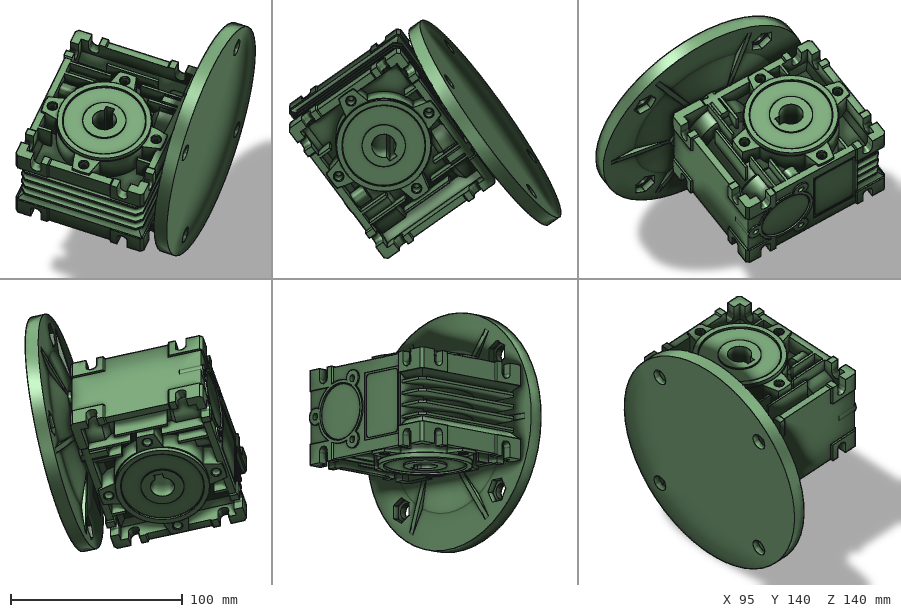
import cadquery as cq
import math


WORM_Y = 30.0

WALL_X = 39.0
WALL_Y_LOW = -39.2
WALL_Y_HIGH = 55.7
RIM_Z = 27.2
POCKET_X = 34.9
POCKET_Y_LOW = -34.6
POCKET_Y_HIGH = 51.5
POCKET_FLOOR_Z = 13.0
POCKET_BEVEL = 3.2

PAD_RISE = 1.0
PAD_Y_LOW = -40.0
PAD_Y_HIGH = 57.0
PAD_TOP_Z = 28.0
PAD_BOTTOM_Z = 15.8
PAD_CHAMFER = 1.7
PAD_END = 19.9
PAD_END_Y_HIGH = 37.1
SLOT_OFFSET = 27.0
SLOT_Y_HIGH = 44.1
SLOT_RADIUS = 3.2
SLOT_CENTRE_Z = 21.8

RECESS_Z = 11.6
RECESS_FLARE = PAD_BOTTOM_Z - RECESS_Z
BLOCK_OUTER_Y = -20.5
BLOCK_NOSE = (-23.4, -23.5)
BLOCK_ROOT = (-20.2, -19.5)
FIN_REACH = 38.1
FIN_CORNER = 3.4
FIN_THICKNESS = 1.5
FIN_PITCH = 7.0
FIN_COUNT = 4

HUB_RADIUS = 28.0
EAR_TOP_Z = 28.8
PILOT_RADIUS = 27.5
PILOT_TOP_Z = 31.5
EAR_TIP_RADIUS = 37.8
EAR_HALF_TIP = 5.3
EAR_HALF_ROOT = 7.8
EAR_HOLE_CIRCLE = 32.5
EAR_HOLE_RADIUS = 2.5
EAR_HOLE_MOUTH = 3.1
EAR_HOLE_DEPTH = 11.0
DRILL_POINT_ANGLE = 118

BOSS_LEFT_RADIUS = 20.0
BARREL_RADIUS = 17.5
BOSS_RIGHT_RADIUS = 21.7
BOSS_LEFT_END_X = -18.0
BARREL_START_X = -15.8
BARREL_END_X = 21.0
BOSS_RIGHT_START_X = 24.6
BOSS_RIGHT_END_X = 41.0
LUG_CIRCLE = 22.5
LUG_RADIUS = 5.0

COVER_RING_RADIUS = 18.8
SCREW_CIRCLE = 21.0
SCREW_BOSS_RADIUS = 5.0
SCREW_BOSS_END_X = -25.9
SCREW_RADIUS = 2.0
SCREW_DEPTH = 8.4
SCREW_ANGLES = (0, 120, 240)
CAP_RADIUS = 17.0
CAP_THICKNESS = 4.0
CAP_SETBACK = 0.8
CAP_CHAMFER = 0.5

SEAT_Y_LOW = -18.9
SEAT_Y_HIGH = 10.0
SEAT_HALF_HEIGHT = 20.0
SEAT_BORDER = 1.1
SEAT_STEP = 0.3
SEAT_CORNER_RADIUS = 2.2

POCKET_RIBS = (
    (-POCKET_X, -9.2, 34.3, 1.4),
    (9.4, POCKET_X, 34.3, 1.4),
    (-POCKET_X, -17.1, 26.2, 1.7),
    (17.1, POCKET_X, 26.2, 1.7),
    (-POCKET_X, -26.9, -15.8, 1.7),
    (26.9, POCKET_X, -15.8, 1.7),
    (-14.4, 17.6, 40.7, 1.4),
)

SHAFT_RADIUS = 12.6
BORE_RADIUS = 7.0
KEY_WIDTH = 5.2
KEY_TOP = 9.5
SEAL_RADIUS = 24.4
SEAL_THICKNESS = 5.0
SEAL_SETBACK = 1.0
SEAL_CHAMFER = 0.4

FLANGE_RADIUS = 70.0
FLANGE_FACE_X = 55.0
FLANGE_THICKNESS = 8.0
CONE_SMALL_RADIUS = 27.5
CONE_LARGE_RADIUS = 48.0
FLANGE_RIB_RADIUS = 64.4
FLANGE_RIB_WIDTH = 3.2
FLANGE_RIB_COUNT = 6
BOLT_CIRCLE = 57.5
BOLT_RADIUS = 4.8
BOLT_COUNT = 4
NUT_ACROSS_CORNERS = 15.1
NUT_DEPTH = 3.9

PAD_X = WALL_X + PAD_RISE
FLANGE_BACK_X = FLANGE_FACE_X - FLANGE_THICKNESS
SEAL_INNER_Z = PILOT_TOP_Z - SEAL_SETBACK - SEAL_THICKNESS


def box(x0, x1, y0, y1, z0, z1):
    return cq.Workplane("XY").box(x1 - x0, y1 - y0, z1 - z0, centered=False).translate((x0, y0, z0))


def prism(points, z0, z1):
    return cq.Workplane("XY").workplane(offset=z0).polyline(points).close().extrude(z1 - z0)


def disc_z(radius, z0, z1):
    return cq.Workplane("XY").workplane(offset=z0).circle(radius).extrude(z1 - z0)


def disc_x(radius, x0, x1, y=WORM_Y, z=0.0):
    return cq.Workplane("YZ", origin=(x0, y, z)).circle(radius).extrude(x1 - x0)


def both_sides(upper):
    return upper.union(upper.mirror("XY"))


def around_worm(radius, angle):
    """Y and Z of a point around the worm axis, the angle counted from +Y towards +Z."""
    turn = math.radians(angle)
    return WORM_Y + radius * math.cos(turn), radius * math.sin(turn)


def corner_pad(side_x, outer_y, wall_y, end_y):
    """Raised pad around one upper corner, with sloping ends."""
    side_y = math.copysign(1, outer_y)
    slope = PAD_TOP_Z - RIM_Z
    root_x = side_x * (PAD_END - slope)
    root_y = end_y - side_y * slope
    tip_x = side_x * PAD_X
    footprint = prism([
        (side_x * PAD_END, outer_y),
        (tip_x - side_x * PAD_CHAMFER, outer_y),
        (tip_x, outer_y - side_y * PAD_CHAMFER),
        (tip_x, end_y),
        (side_x * WALL_X, root_y),
        (root_x, root_y),
        (root_x, wall_y),
    ], PAD_BOTTOM_Z, PAD_TOP_Z)
    along_x = cq.Workplane("XZ").polyline([
        (root_x, 0), (root_x, RIM_Z), (side_x * PAD_END, PAD_TOP_Z), (tip_x, PAD_TOP_Z), (tip_x, 0),
    ]).close().extrude(FLANGE_RADIUS, both=True)
    along_y = cq.Workplane("YZ").polyline([
        (root_y, 0), (root_y, RIM_Z), (end_y, PAD_TOP_Z), (outer_y, PAD_TOP_Z), (outer_y, 0),
    ]).close().extrude(FLANGE_RADIUS, both=True)
    return footprint.intersect(along_x).intersect(along_y)


def foot_slot(direction, x, y):
    """Upright slot with a round bottom, open at the top, through one wall."""
    length = PAD_X - POCKET_X + 1.4
    plane = cq.Plane(origin=(x, y, SLOT_CENTRE_Z), xDir=(-direction[1], direction[0], 0),
                     normal=(direction[0], direction[1], 0))
    height = PAD_TOP_Z - SLOT_CENTRE_Z
    bottom = cq.Workplane(plane).circle(SLOT_RADIUS).extrude(length)
    shaft = cq.Workplane(plane).center(0, height / 2).rect(2 * SLOT_RADIUS, height).extrude(length)
    return bottom.union(shaft)


def pocket():
    """Open pocket: bevelled to its floor around the wheel, with one deeper slope beside the worm."""
    bevel_top = POCKET_FLOOR_Z + POCKET_BEVEL
    deep_z = BARREL_RADIUS / 2

    floor_x = POCKET_X - POCKET_BEVEL
    across_x = cq.Workplane("XZ", origin=(0, WORM_Y, 0)).polyline([
        (-POCKET_X, PAD_TOP_Z),
        (-POCKET_X, bevel_top),
        (-floor_x, POCKET_FLOOR_Z),
        (floor_x, POCKET_FLOOR_Z),
        (POCKET_X, bevel_top),
        (POCKET_X, PAD_TOP_Z),
    ]).close().extrude(WORM_Y - POCKET_Y_LOW)
    end_bevel = cq.Workplane("YZ").polyline([
        (POCKET_Y_LOW, POCKET_FLOOR_Z),
        (POCKET_Y_LOW + POCKET_BEVEL, POCKET_FLOOR_Z),
        (POCKET_Y_LOW, bevel_top),
    ]).close().extrude(POCKET_X, both=True)

    worm_part = cq.Workplane("YZ").polyline([
        (WORM_Y, PAD_TOP_Z),
        (WORM_Y, deep_z),
        (POCKET_Y_HIGH - bevel_top + deep_z, deep_z),
        (POCKET_Y_HIGH, bevel_top),
        (POCKET_Y_HIGH, PAD_TOP_Z),
    ]).close().extrude(POCKET_X, both=True)
    return across_x.cut(end_bevel).union(worm_part)


def recess_region(z0, z1):
    """Plan area around the wheel that is free of the solid block on the -X side."""
    return prism([
        (-FLANGE_RADIUS, BLOCK_OUTER_Y),
        (-WALL_X, BLOCK_OUTER_Y),
        BLOCK_NOSE,
        BLOCK_ROOT,
        (0, 0),
        (0, WORM_Y),
        (FLANGE_RADIUS, WORM_Y),
        (FLANGE_RADIUS, -FLANGE_RADIUS),
        (-FLANGE_RADIUS, -FLANGE_RADIUS),
    ], z0, z1)


def side_recess():
    """Recess behind the fins, flaring outwards at 45 degrees to the walls above and below."""
    roof_x = WALL_X - RECESS_FLARE
    roof_y = WALL_Y_LOW + RECESS_FLARE
    frustum = (
        cq.Workplane("XY").workplane(offset=RECESS_Z)
        .center(0, (roof_y + WORM_Y) / 2).rect(2 * roof_x, WORM_Y - roof_y)
        .workplane(offset=RECESS_FLARE)
        .rect(2 * WALL_X, WORM_Y - roof_y + 2 * RECESS_FLARE)
        .loft(ruled=True)
    )
    slab = box(-FLANGE_RADIUS, FLANGE_RADIUS, -FLANGE_RADIUS, WORM_Y, RECESS_Z, PAD_BOTTOM_Z)
    flare = slab.cut(frustum).intersect(recess_region(RECESS_Z, PAD_BOTTOM_Z))
    return recess_region(-RECESS_Z, RECESS_Z).union(both_sides(flare))


def fin(z):
    bottom = z - FIN_THICKNESS / 2
    top = z + FIN_THICKNESS / 2
    plate = box(-FIN_REACH, FIN_REACH, -FIN_REACH, WORM_Y, bottom, top)
    plate = plate.edges("|Z and <Y").chamfer(FIN_CORNER)
    return plate.intersect(recess_region(bottom, top))


def worm_tunnel():
    profile = [
        (-WALL_X, 0),
        (-WALL_X, BOSS_LEFT_RADIUS),
        (BOSS_LEFT_END_X, BOSS_LEFT_RADIUS),
        (BARREL_START_X, BARREL_RADIUS),
        (BARREL_END_X, BARREL_RADIUS),
        (BOSS_RIGHT_START_X, BOSS_RIGHT_RADIUS),
        (BOSS_RIGHT_END_X, BOSS_RIGHT_RADIUS),
        (BOSS_RIGHT_END_X, 0),
    ]
    tunnel = cq.Workplane("XY").polyline(profile).close().revolve(360, (0, 0, 0), (1, 0, 0))
    return tunnel.translate((0, WORM_Y, 0))


def flange_lug(angle):
    """Lug beside the open tunnel end, trimmed level with the rim; the +Y one stays outside the wall."""
    start_x = WALL_X if angle == 0 else BOSS_RIGHT_START_X
    lug = disc_x(LUG_RADIUS, start_x, BOSS_RIGHT_END_X, *around_worm(LUG_CIRCLE, angle))
    return lug.intersect(box(0, FLANGE_RADIUS, -FLANGE_RADIUS, FLANGE_RADIUS, -RIM_Z, RIM_Z))


def ear(angle):
    """Tapered ear with a round tip, standing on the pocket floor."""
    tip_x = math.sqrt(EAR_TIP_RADIUS**2 - EAR_HALF_TIP**2)
    outline = (
        cq.Workplane("XY").workplane(offset=RECESS_Z)
        .moveTo(0, -EAR_HALF_ROOT).lineTo(PILOT_RADIUS, -EAR_HALF_ROOT).lineTo(tip_x, -EAR_HALF_TIP)
        .threePointArc((EAR_TIP_RADIUS, 0), (tip_x, EAR_HALF_TIP))
        .lineTo(PILOT_RADIUS, EAR_HALF_ROOT).lineTo(0, EAR_HALF_ROOT).close()
    )
    return outline.extrude(EAR_TOP_Z - RECESS_Z).rotate((0, 0, 0), (0, 0, 1), angle)


def ear_hole(angle):
    """Blind hole with a chamfered mouth and a drill point."""
    bottom = EAR_TOP_Z - EAR_HOLE_DEPTH
    point = EAR_HOLE_RADIUS / math.tan(math.radians(DRILL_POINT_ANGLE / 2))
    mouth = EAR_HOLE_MOUTH - EAR_HOLE_RADIUS
    hole = cq.Workplane("XZ").polyline([
        (0, bottom - point),
        (EAR_HOLE_RADIUS, bottom),
        (EAR_HOLE_RADIUS, EAR_TOP_Z - mouth),
        (EAR_HOLE_MOUTH, EAR_TOP_Z),
        (0, EAR_TOP_Z),
    ]).close().revolve(360, (0, 0, 0), (0, 1, 0))
    return hole.translate((EAR_HOLE_CIRCLE, 0, 0)).rotate((0, 0, 0), (0, 0, 1), angle)


def plate_seat():
    """Shallow square seat with a rounded, slightly deeper field inside it."""
    middle_y = (SEAT_Y_LOW + SEAT_Y_HIGH) / 2
    width = SEAT_Y_HIGH - SEAT_Y_LOW
    height = 2 * SEAT_HALF_HEIGHT
    outer = cq.Workplane("YZ", origin=(-WALL_X, middle_y, 0)).rect(width, height).extrude(SEAT_STEP)
    inner = (
        cq.Workplane("YZ", origin=(-WALL_X, middle_y, 0))
        .rect(width - 2 * SEAT_BORDER, height - 2 * SEAT_BORDER).extrude(2 * SEAT_STEP)
        .edges("|X").fillet(SEAT_CORNER_RADIUS)
    )
    return outer.union(inner)


def make_housing():
    quarter_turns = (0, 90, 180, 270)
    shell = box(-WALL_X, WALL_X, WALL_Y_LOW, WALL_Y_HIGH, -RIM_Z, RIM_Z)

    for side_x in (-1, 1):
        shell = shell.union(both_sides(corner_pad(side_x, PAD_Y_LOW, WALL_Y_LOW, -PAD_END)))
        shell = shell.union(both_sides(corner_pad(side_x, PAD_Y_HIGH, WALL_Y_HIGH, PAD_END_Y_HIGH)))

    shell = shell.cut(both_sides(pocket()))
    slots = [((-1, 0), -POCKET_X, SLOT_Y_HIGH)]
    for side in (-1, 1):
        slots.append(((side, 0), side * POCKET_X, -SLOT_OFFSET))
        slots.append(((0, -1), side * SLOT_OFFSET, POCKET_Y_LOW))
        slots.append(((0, 1), side * SLOT_OFFSET, POCKET_Y_HIGH))
    for direction, x, y in slots:
        shell = shell.cut(both_sides(foot_slot(direction, x, y)))

    for angle in quarter_turns:
        shell = shell.union(both_sides(ear(angle)))
    for x0, x1, y, thickness in POCKET_RIBS:
        rib = box(x0, x1, y - thickness / 2, y + thickness / 2, RECESS_Z, RIM_Z)
        shell = shell.union(both_sides(rib))

    shell = shell.cut(side_recess())
    for index in range(FIN_COUNT):
        shell = shell.union(fin((index - (FIN_COUNT - 1) / 2) * FIN_PITCH))

    shell = shell.union(disc_z(HUB_RADIUS, -EAR_TOP_Z, EAR_TOP_Z))
    shell = shell.union(disc_z(PILOT_RADIUS, -PILOT_TOP_Z, PILOT_TOP_Z))

    shell = shell.union(worm_tunnel())
    for angle in quarter_turns:
        shell = shell.union(flange_lug(angle))

    shell = shell.union(disc_x(COVER_RING_RADIUS, -PAD_X, -POCKET_X))
    for angle in SCREW_ANGLES:
        y, z = around_worm(SCREW_CIRCLE, angle)
        shell = shell.union(disc_x(SCREW_BOSS_RADIUS, -PAD_X, SCREW_BOSS_END_X, y, z))
    for angle in SCREW_ANGLES:
        y, z = around_worm(SCREW_CIRCLE, angle)
        shell = shell.cut(disc_x(SCREW_RADIUS, -PAD_X, SCREW_DEPTH - PAD_X, y, z))
    shell = shell.cut(disc_x(CAP_RADIUS, -PAD_X, CAP_SETBACK + CAP_THICKNESS - PAD_X))
    shell = shell.cut(plate_seat())

    for angle in quarter_turns:
        shell = shell.cut(both_sides(ear_hole(angle)))
    shell = shell.cut(disc_z(SHAFT_RADIUS, -PILOT_TOP_Z, PILOT_TOP_Z))
    seat = disc_z(SEAL_RADIUS, SEAL_INNER_Z, PILOT_TOP_Z)
    return shell.cut(seat).cut(seat.mirror("XY"))


def make_shaft():
    """Hollow wheel shaft with a keyway towards the worm."""
    shaft = disc_z(SHAFT_RADIUS, -PILOT_TOP_Z, PILOT_TOP_Z)
    bore = disc_z(BORE_RADIUS, -PILOT_TOP_Z, PILOT_TOP_Z)
    keyway = box(-KEY_WIDTH / 2, KEY_WIDTH / 2, 0, KEY_TOP, -PILOT_TOP_Z, PILOT_TOP_Z)
    return shaft.cut(bore).cut(keyway)


def make_seal():
    """Seal ring at the upper end of the shaft."""
    ring = disc_z(SEAL_RADIUS, SEAL_INNER_Z, SEAL_INNER_Z + SEAL_THICKNESS)
    ring = ring.faces(">Z").edges().chamfer(SEAL_CHAMFER)
    return ring.cut(disc_z(SHAFT_RADIUS, SEAL_INNER_Z, PILOT_TOP_Z))


def make_cap():
    outer_x = CAP_SETBACK - PAD_X
    return disc_x(CAP_RADIUS, outer_x, outer_x + CAP_THICKNESS).faces("<X").edges().chamfer(CAP_CHAMFER)


def flange_rib(angle):
    """Thin web whose sloping edge runs from the cone's small end to the plate."""
    web = cq.Workplane("XY").polyline([
        (BOSS_RIGHT_END_X, CONE_SMALL_RADIUS),
        (FLANGE_BACK_X, FLANGE_RIB_RADIUS),
        (FLANGE_FACE_X, FLANGE_RIB_RADIUS),
        (FLANGE_FACE_X, CONE_SMALL_RADIUS),
    ]).close().extrude(FLANGE_RIB_WIDTH / 2, both=True)
    return web.rotate((0, 0, 0), (1, 0, 0), angle)


def make_flange():
    profile = [
        (BOSS_RIGHT_END_X, 0),
        (BOSS_RIGHT_END_X, CONE_SMALL_RADIUS),
        (FLANGE_BACK_X, CONE_LARGE_RADIUS),
        (FLANGE_BACK_X, FLANGE_RADIUS),
        (FLANGE_FACE_X, FLANGE_RADIUS),
        (FLANGE_FACE_X, 0),
    ]
    flange = cq.Workplane("XZ").polyline(profile).close().revolve(360, (0, 0, 0), (1, 0, 0))
    for index in range(FLANGE_RIB_COUNT):
        flange = flange.union(flange_rib(index * 360 / FLANGE_RIB_COUNT))

    first_place = BOLT_CIRCLE * math.sqrt(0.5)
    back = cq.Workplane("YZ", origin=(FLANGE_BACK_X, first_place, first_place))
    bolt = back.circle(BOLT_RADIUS).extrude(FLANGE_THICKNESS)
    nut = back.polygon(6, NUT_ACROSS_CORNERS).extrude(NUT_DEPTH)
    hole = bolt.union(nut)
    for index in range(BOLT_COUNT):
        flange = flange.cut(hole.rotate((0, 0, 0), (1, 0, 0), index * 360 / BOLT_COUNT))
    return flange.translate((0, WORM_Y, 0))


housing = make_housing()
shaft = make_shaft()
upper_seal = make_seal()
seals = [upper_seal, upper_seal.mirror("XY")]
cap = make_cap()
flange = make_flange()

result = cq.Compound.makeCompound([
    housing.val(),
    shaft.val(),
    *[seal.val() for seal in seals],
    cap.val(),
    flange.val(),
])